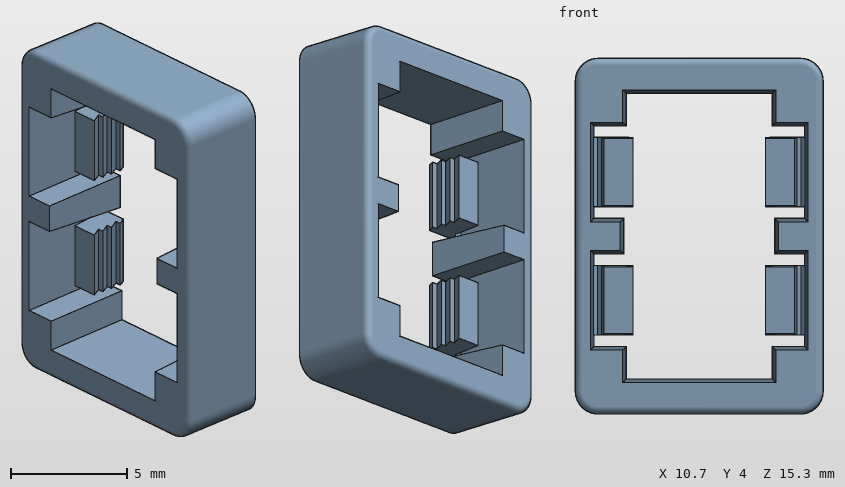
import cadquery as cq

width = 10.66
depth = 4.0
height = 15.3
corner_radius = 1.0
front_edge_radius = 0.3

opening_half_width = 3.29
opening_half_height = 6.29
notch_half_width = 4.68
notch_half_height = 4.9
rib_half_gap = 3.4
rib_half_height = 0.61
wall_draft = 0.16

pad_front = 2.11
pad_tip = 2.85
pad_outer_front = 4.09
pad_outer_root = 4.19
pad_center_z = 2.75
pad_half_height = 1.5
pad_end_draft = 0.06
tooth_count = 4
tooth_pitch = 0.5
tooth_depth = 0.28
web_thickness = 0.3
slot_width = 0.35
wall_overlap = 0.23


def make_frame():
    """Rounded rectangular block with a softened front rim."""
    block = cq.Workplane("XY").box(width, depth, height, centered=(True, False, True))
    return block.edges("|Y").fillet(corner_radius).faces("<Y").edges().fillet(front_edge_radius)


def opening_outline(inset):
    """Corners of the full window outline, with every edge moved inwards by inset."""
    upper_right = [
        (rib_half_gap - inset, rib_half_height + inset),
        (notch_half_width - inset, rib_half_height + inset),
        (notch_half_width - inset, notch_half_height - inset),
        (opening_half_width - inset, notch_half_height - inset),
        (opening_half_width - inset, opening_half_height - inset),
    ]
    right = [(x, -z) for x, z in reversed(upper_right)] + upper_right
    left = [(-x, -z) for x, z in right]
    return right + left


def make_opening():
    """Drafted window with a tall notch above and below each middle rib."""
    return (
        cq.Workplane("XZ")
        .polyline(opening_outline(0))
        .close()
        .workplane(offset=-depth)
        .polyline(opening_outline(wall_draft))
        .close()
        .loft(ruled=True)
    )


def make_pad():
    """Right-hand pad: sawtooth inner side, V-bottomed slot behind it."""
    slot_half_width = slot_width / 2
    slot_bottom = depth - web_thickness
    slot_end = slot_bottom - slot_half_width
    wall_side = pad_outer_root + slot_width
    profile = (
        cq.Workplane("XY")
        .moveTo(wall_side + wall_overlap, depth)
        .lineTo(wall_side + wall_overlap, slot_end)
        .lineTo(wall_side, slot_end)
        .lineTo(wall_side - slot_half_width, slot_bottom)
        .lineTo(pad_outer_root, slot_end)
        .lineTo(pad_outer_front, pad_front)
        .lineTo(pad_tip, pad_front)
    )
    for tooth in range(1, tooth_count):
        tooth_y = pad_front + tooth * tooth_pitch
        profile = profile.lineTo(pad_tip + tooth_depth, tooth_y).lineTo(pad_tip, tooth_y)
    last_length = depth - pad_front - (tooth_count - 1) * tooth_pitch
    profile = profile.lineTo(pad_tip + tooth_depth * last_length / tooth_pitch, depth)
    body = profile.close().extrude(pad_half_height, both=True)

    front_half_height = pad_half_height - pad_end_draft
    side_limits = (
        cq.Workplane("YZ")
        .polyline([
            (pad_front, -front_half_height),
            (depth, -pad_half_height),
            (depth, pad_half_height),
            (pad_front, front_half_height),
        ])
        .close()
        .extrude(width)
    )
    return body.intersect(side_limits)


result = make_frame().cut(make_opening())
pad = make_pad()
for side_pad in (pad, pad.mirror("YZ")):
    for center_z in (-pad_center_z, pad_center_z):
        result = result.union(side_pad.translate((0, 0, center_z)))